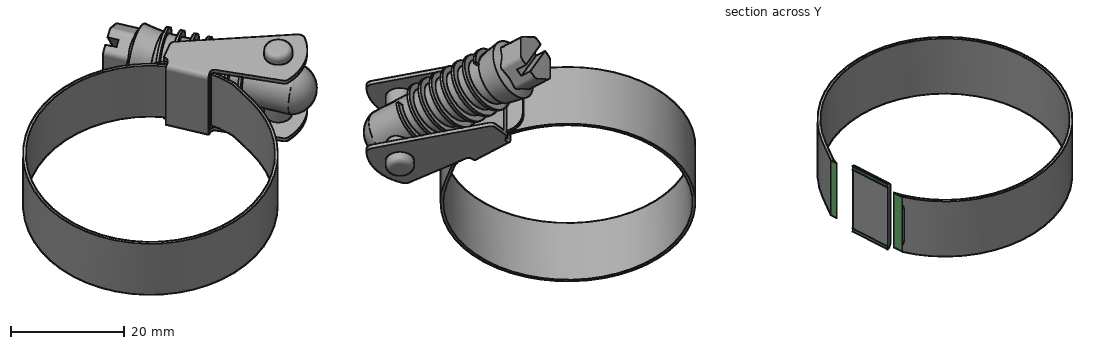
import cadquery as cq
import math


BAND_RADIUS = 22.535
BAND_THICKNESS = 0.5
BAND_WIDTH = 12.75
LAYER_GAP = 0.05
TANGENT_ANGLE = 35.0
TONGUE_ANGLE = -19.8
TONGUE_CORNER = 2.9
FOLD_RADIUS = 1.75

SHEET = 0.8
CLIP_FLOOR_BOTTOM = 20.4
CLIP_FLOOR_LENGTH = 7.9
CLIP_WIDTH = 15.2
BEND_RADIUS = 1.0
NOTCH_RADIUS = 0.85
BRIDGE_LENGTH = 10.0
BRIDGE_BOTTOM = 22.75
PLATE_SHOULDER = 22.4
PLATE_HEEL = 26.5
PLATE_TOP_SLOPE = 23.3
PLATE_BOTTOM_SLOPE = 5.8
PLATE_END_RADIUS = 10.0
PLATE_END_CENTER = (9.05, 29.1)
PLATE_TIP_RADIUS = 1.4
PLATE_CORNER_RADIUS = 1.05

PIN_X = 14.05
AXIS_Y = 29.4
PIN_DIAMETER = 5.05
PIN_LENGTH = 19.0
PIN_ROUNDING = 1.0

HEAD_FRONT = -17.3
HEAD_OFFSET = -0.35
HEX_WIDTH = 8.1
HEX_CORNER = 1.05
HEX_LENGTH = 4.4
COLLAR_LENGTH = 4.65
COLLAR_CHAMFER = 0.75
COLLAR_RADIUS = 5.5
COLLAR_BACK_RADIUS = 4.9
SLOT_WIDTH = 1.4
SLOT_DEPTH = 2.1
SLOT_ANGLE = 30.0

SHANK_RADIUS = 4.5
DOME_TIP = 21.0
DOME_HEIGHT = 3.6
THREAD_RADIUS = 5.6
THREAD_WIDTH = 0.5
THREAD_PITCH = 2.55
THREAD_TURNS = 7
THREAD_ROOT = 0.35

COLLAR_FRONT = HEAD_FRONT + HEX_LENGTH
HEAD_BACK = COLLAR_FRONT + COLLAR_LENGTH


def on_circle(radius, angle):
    """Point of a circle around the ring axis; the angle in degrees runs from +Y towards +X."""
    turn = math.radians(angle)
    return (radius * math.sin(turn), radius * math.cos(turn))


def angle_at_height(radius, height):
    """Positive angle at which a circle around the ring axis passes through a given Y."""
    return math.degrees(math.acos(height / radius))


def band_face(ring_radius, tongue_radius, tongue_flat, lower_flat):
    """Points of one face of the band, from its inner end around the ring to the end of the tongue.

    The straight run is tangent to the ring, so its distance from the axis is the ring radius.
    """
    lower_kink = angle_at_height(ring_radius, lower_flat)
    tongue_kink = angle_at_height(tongue_radius, tongue_flat)
    fold = TANGENT_ANGLE - angle_at_height(tongue_radius, ring_radius)
    return {
        "inner end": (CLIP_FLOOR_LENGTH / 2, lower_flat),
        "inner kink": on_circle(ring_radius, -lower_kink),
        "ring bottom": on_circle(ring_radius, 180),
        "tangent": on_circle(ring_radius, TANGENT_ANGLE),
        "fold": on_circle(tongue_radius, fold),
        "right arc": on_circle(tongue_radius, (fold + tongue_kink) / 2),
        "right kink": on_circle(tongue_radius, tongue_kink),
        "left kink": on_circle(tongue_radius, -tongue_kink),
        "left arc": on_circle(tongue_radius, (TONGUE_ANGLE - tongue_kink) / 2),
        "tongue end": on_circle(tongue_radius, TONGUE_ANGLE),
    }


def make_band():
    tongue_top = BRIDGE_BOTTOM - LAYER_GAP
    tongue_bottom = tongue_top - BAND_THICKNESS
    lower_top = tongue_bottom - LAYER_GAP
    lower_bottom = lower_top - BAND_THICKNESS
    tongue_inside = BAND_RADIUS + LAYER_GAP
    inside = band_face(BAND_RADIUS - BAND_THICKNESS, tongue_inside, tongue_bottom, lower_bottom)
    outside = band_face(BAND_RADIUS, tongue_inside + BAND_THICKNESS, tongue_top, lower_top)
    band = (
        cq.Workplane("XY", origin=(0, 0, -BAND_WIDTH / 2))
        .moveTo(*inside["inner end"])
        .lineTo(*inside["inner kink"])
        .threePointArc(inside["ring bottom"], inside["tangent"])
        .lineTo(*inside["fold"])
        .threePointArc(inside["right arc"], inside["right kink"])
        .lineTo(*inside["left kink"])
        .threePointArc(inside["left arc"], inside["tongue end"])
        .lineTo(*outside["tongue end"])
        .threePointArc(outside["left arc"], outside["left kink"])
        .lineTo(*outside["right kink"])
        .threePointArc(outside["right arc"], outside["fold"])
        .lineTo(*outside["tangent"])
        .threePointArc(outside["ring bottom"], outside["inner kink"])
        .lineTo(*outside["inner end"])
        .close()
        .extrude(BAND_WIDTH)
    )
    band = rounded_at(band, inside["fold"], FOLD_RADIUS)
    band = rounded_at(band, outside["fold"], FOLD_RADIUS + BAND_THICKNESS)
    for side in (-1, 1):
        corner = (*on_circle(tongue_inside + BAND_THICKNESS / 2, TONGUE_ANGLE), side * BAND_WIDTH / 2)
        band = band.edges(cq.NearestToPointSelector(corner)).fillet(TONGUE_CORNER)
    return band


def rounded_at(body, point, radius):
    """Round the edge along Z that passes nearest to an XY point, halfway up the body."""
    middle = body.val().BoundingBox().center.z
    return body.edges("|Z").edges(cq.NearestToPointSelector((*point, middle))).fillet(radius)


def make_side_plate(bottom_z):
    left = -BRIDGE_LENGTH / 2
    tab = CLIP_FLOOR_LENGTH / 2
    tab_bottom = CLIP_FLOOR_BOTTOM + BEND_RADIUS
    notch_end = tab + NOTCH_RADIUS
    notch_middle = NOTCH_RADIUS * (1 - math.sqrt(0.5))
    notch_bottom = PLATE_SHOULDER - NOTCH_RADIUS
    end_x, end_y = PLATE_END_CENTER
    tip = end_arc_crossing((left, PLATE_HEEL), PLATE_TOP_SLOPE)
    toe = end_arc_crossing((notch_end, PLATE_SHOULDER), PLATE_BOTTOM_SLOPE)
    plate = (
        cq.Workplane("XY", origin=(0, 0, bottom_z))
        .moveTo(-tab, tab_bottom)
        .lineTo(-tab, notch_bottom)
        .threePointArc((-tab - notch_middle, PLATE_SHOULDER - notch_middle), (-notch_end, PLATE_SHOULDER))
        .lineTo(left, PLATE_SHOULDER)
        .lineTo(left, PLATE_HEEL)
        .lineTo(*tip)
        .threePointArc((end_x + PLATE_END_RADIUS, end_y), toe)
        .lineTo(notch_end, PLATE_SHOULDER)
        .threePointArc((tab + notch_middle, PLATE_SHOULDER - notch_middle), (tab, notch_bottom))
        .lineTo(tab, tab_bottom)
        .close()
        .extrude(SHEET)
    )
    plate = rounded_at(plate, (left, PLATE_HEEL), PLATE_CORNER_RADIUS)
    plate = rounded_at(plate, toe, PLATE_CORNER_RADIUS)
    return rounded_at(plate, tip, PLATE_TIP_RADIUS)


def end_arc_crossing(start, slope):
    """Where a line rising to the right at a slope in degrees meets the rounded plate end."""
    direction = (math.cos(math.radians(slope)), math.sin(math.radians(slope)))
    to_center = (PLATE_END_CENTER[0] - start[0], PLATE_END_CENTER[1] - start[1])
    along = to_center[0] * direction[0] + to_center[1] * direction[1]
    across = to_center[0] * direction[1] - to_center[1] * direction[0]
    reach = along + math.sqrt(PLATE_END_RADIUS**2 - across**2)
    return (start[0] + reach * direction[0], start[1] + reach * direction[1])


def make_clip_floor():
    """Channel joining the two side plates underneath the band."""
    inner_width = CLIP_WIDTH - 2 * SHEET
    outer = (
        cq.Workplane("XY")
        .box(CLIP_FLOOR_LENGTH, 2 * BEND_RADIUS, CLIP_WIDTH, centered=(True, False, True))
        .edges("|X and <Y")
        .fillet(BEND_RADIUS)
    )
    inner = (
        cq.Workplane("XY")
        .box(CLIP_FLOOR_LENGTH, 2 * BEND_RADIUS, inner_width, centered=(True, False, True))
        .edges("|X and <Y")
        .fillet(BEND_RADIUS - SHEET)
        .translate((0, SHEET, 0))
    )
    upper = (
        cq.Workplane("XY")
        .box(CLIP_FLOOR_LENGTH, BEND_RADIUS, CLIP_WIDTH, centered=(True, False, True))
        .translate((0, BEND_RADIUS, 0))
    )
    return outer.cut(inner).cut(upper).translate((0, CLIP_FLOOR_BOTTOM, 0))


def pin_bore():
    return cq.Workplane("XY").center(PIN_X, AXIS_Y).circle(PIN_DIAMETER / 2).extrude(PIN_LENGTH / 2, both=True)


def make_clip():
    bridge = (
        cq.Workplane("XY")
        .box(BRIDGE_LENGTH, SHEET, CLIP_WIDTH - 2 * SHEET, centered=(True, False, True))
        .translate((0, BRIDGE_BOTTOM, 0))
    )
    clip = make_clip_floor().union(bridge)
    for bottom_z in (-CLIP_WIDTH / 2, CLIP_WIDTH / 2 - SHEET):
        clip = clip.union(make_side_plate(bottom_z))
    return clip.cut(pin_bore())


def make_pin():
    return pin_bore().faces("|Z").edges().fillet(PIN_ROUNDING)


def make_screw_head():
    collar = (
        cq.Workplane("XZ")
        .moveTo(COLLAR_FRONT, 0)
        .lineTo(COLLAR_FRONT, HEX_WIDTH / 2)
        .lineTo(COLLAR_FRONT + COLLAR_CHAMFER, COLLAR_RADIUS)
        .lineTo(HEAD_BACK, COLLAR_BACK_RADIUS)
        .lineTo(HEAD_BACK, 0)
        .close()
        .revolve(360, (0, 0), (1, 0))
    )
    hexagon = (
        cq.Workplane("YZ", origin=(HEAD_FRONT, 0, 0))
        .polygon(6, HEX_WIDTH, circumscribed=True)
        .extrude(HEX_LENGTH + COLLAR_CHAMFER)
        .edges("|X")
        .fillet(HEX_CORNER)
    )
    slot = (
        cq.Workplane("XY")
        .box(SLOT_DEPTH, SLOT_WIDTH, 2 * HEX_WIDTH, centered=(False, True, True))
        .translate((HEAD_FRONT, 0, 0))
        .rotate((0, 0, 0), (1, 0, 0), SLOT_ANGLE)
    )
    return collar.union(hexagon).cut(slot).translate((0, AXIS_Y, HEAD_OFFSET))


def make_thread():
    """Helical strip along X, starting and ending on the +Y side of the shank."""
    root = SHANK_RADIUS - THREAD_ROOT
    height = THREAD_PITCH * THREAD_TURNS
    helix = cq.Wire.makeHelix(THREAD_PITCH, height, root)
    return (
        cq.Workplane("XZ")
        .center((root + THREAD_RADIUS) / 2, 0)
        .rect(THREAD_RADIUS - root, THREAD_WIDTH)
        .sweep(cq.Workplane(helix), isFrenet=True)
        .rotate((0, 0, 0), (0, 0, 1), 90)
        .rotate((0, 0, 0), (0, 1, 0), 90)
        .translate((HEAD_BACK + THREAD_WIDTH / 2, 0, 0))
    )


def make_worm():
    dome_radius = (SHANK_RADIUS**2 + DOME_HEIGHT**2) / (2 * DOME_HEIGHT)
    shank = (
        cq.Workplane("XZ")
        .moveTo(HEAD_BACK, 0)
        .lineTo(HEAD_BACK, SHANK_RADIUS)
        .lineTo(DOME_TIP - DOME_HEIGHT, SHANK_RADIUS)
        .radiusArc((DOME_TIP, 0), dome_radius)
        .close()
        .revolve(360, (0, 0), (1, 0))
    )
    return shank.union(make_thread()).translate((0, AXIS_Y, 0)).cut(pin_bore())


band = make_band()
clip = make_clip()
pin = make_pin()
screw_head = make_screw_head()
worm = make_worm()

result = cq.Compound.makeCompound([band.val(), clip.val(), pin.val(), screw_head.val(), worm.val()])